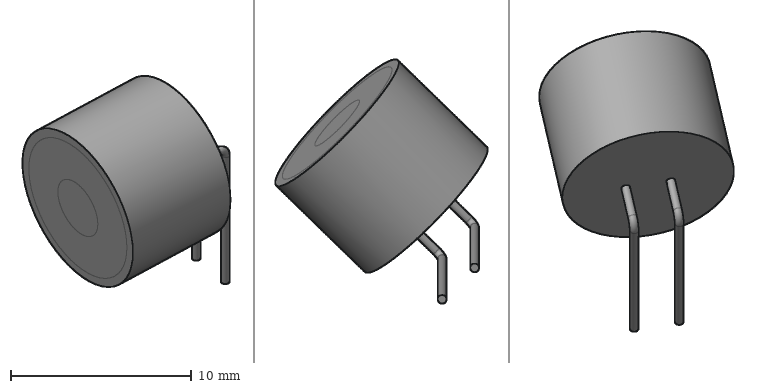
import cadquery as cq

can_diameter = 9.7
can_length = 7.0
face_diameter = 8.6
port_diameter = 3.5
inlay_depth = 0.15

pin_diameter = 0.5
pin_spacing = 2.55
bend_radius = 0.5
overall_depth = 9.79
overall_height = 14.7

pin_radius = pin_diameter / 2
pin_drop_y = overall_depth - pin_radius
pin_bottom_z = can_diameter / 2 - overall_height


def along_y(diameter, start_y, length):
    """Cylinder on the can axis, running from start_y towards +Y."""
    return cq.Workplane("XZ", origin=(0, start_y, 0)).circle(diameter / 2).extrude(-length)


def mark_circle(body, diameter):
    """Refill a shallow round recess flush, keeping the circular edge on the flat front face."""
    inlay = along_y(diameter, 0, inlay_depth)
    return body.cut(inlay, clean=False).union(inlay, clean=False)


def make_housing():
    """One solid can whose flush front face is divided by two concentric circles."""
    can = along_y(can_diameter, 0, can_length)
    can = mark_circle(can, face_diameter)
    return mark_circle(can, port_diameter).solids()


def make_pin(x):
    """Right-angle pin whose root touches the back of the can."""
    bend_start_y = pin_drop_y - bend_radius
    path = (
        cq.Workplane("YZ", origin=(x, 0, 0))
        .moveTo(can_length, 0)
        .lineTo(bend_start_y, 0)
        .tangentArcPoint((pin_drop_y, -bend_radius), relative=False)
        .lineTo(pin_drop_y, pin_bottom_z)
    )
    profile = cq.Workplane("XZ", origin=(x, can_length, 0)).circle(pin_radius)
    return profile.sweep(path)


housing = make_housing()
pins = [make_pin(side * pin_spacing / 2) for side in (-1, 1)]

result = cq.Compound.makeCompound([housing.val(), *(pin.val() for pin in pins)])